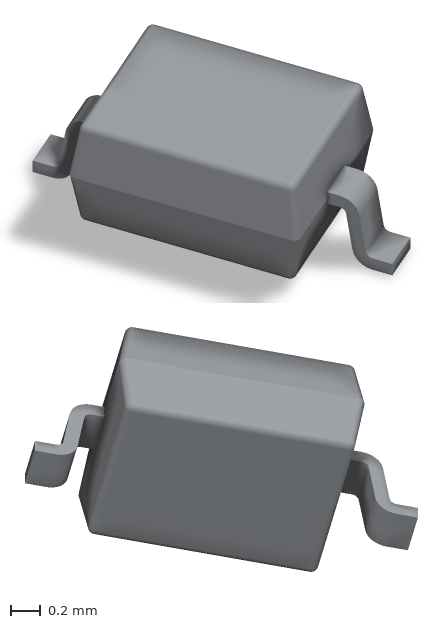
import cadquery as cq
import math

overall_length = 2.65
body_length = 1.699
body_width = 1.3
body_height = 0.848
body_draft = 8.0
body_edge_radius = 0.05

standoff = 0.1
lead_thickness = 0.1
lead_width = 0.3
foot_length = 0.145
shoulder_length = 0.085
inner_bend_radius = 0.05
embedded_length = 0.16

parting_height = standoff + body_height / 2


def make_body_half(direction):
    """One tapered half of the body, growing up (+1) or down (-1) from the parting plane."""
    return (
        cq.Workplane("XY")
        .workplane(offset=parting_height)
        .rect(body_length, body_width)
        .extrude(direction * body_height / 2, taper=body_draft)
    )


def make_body():
    """Moulded body, rounded everywhere except along the parting edges."""
    body = make_body_half(1).union(make_body_half(-1))
    side_edges = body.edges("not(#Z)")
    rim_edges = body.faces("|Z").edges()
    return body.newObject(side_edges.vals() + rim_edges.vals()).fillet(body_edge_radius)


def make_left_lead():
    """Gull-wing lead of constant section, swept from the foot tip into the body."""
    bend_radius = inner_bend_radius + lead_thickness / 2
    foot_tip = (-overall_length / 2, lead_thickness / 2)
    foot_end = (foot_tip[0] + foot_length, foot_tip[1])
    shoulder_start = (-body_length / 2 - shoulder_length, parting_height)
    shoulder_end = (-body_length / 2 + embedded_length, parting_height)

    centre_run = shoulder_start[0] - foot_end[0]
    centre_rise = shoulder_start[1] - foot_end[1] - 2 * bend_radius
    centre_distance = math.hypot(centre_run, centre_rise)
    turn = math.atan2(centre_rise, centre_run) + math.asin(2 * bend_radius / centre_distance)
    bend_run = bend_radius * math.sin(turn)
    bend_rise = bend_radius * (1 - math.cos(turn))
    leg_bottom = (foot_end[0] + bend_run, foot_end[1] + bend_rise)
    leg_top = (shoulder_start[0] - bend_run, shoulder_start[1] - bend_rise)

    centre_line = (
        cq.Workplane("XZ")
        .moveTo(*foot_tip)
        .lineTo(*foot_end)
        .tangentArcPoint(leg_bottom, relative=False)
        .lineTo(*leg_top)
        .tangentArcPoint(shoulder_start, relative=False)
        .lineTo(*shoulder_end)
    )
    section = cq.Workplane("YZ", origin=(foot_tip[0], 0, foot_tip[1])).rect(lead_width, lead_thickness)
    return section.sweep(centre_line)


left_lead = make_left_lead()
right_lead = left_lead.mirror("YZ")
result = make_body().union(left_lead).union(right_lead)